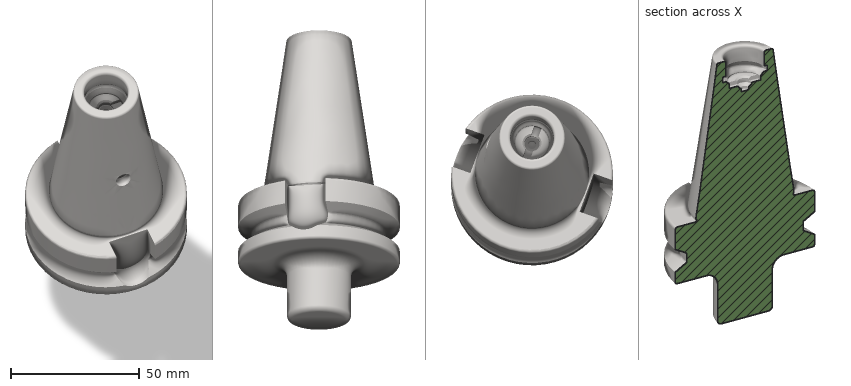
import cadquery as cq
import math


shank_height = 65.4
gauge_radius = 22.21
taper_slope = 3.5 / 24
shank_top_round = 0.8
gauge_band = 0.7
undercut_depth = 0.3
undercut_root_round = 0.5

flange_radius = 31.5
flange_top = -1.8
flange_bottom = -27.0
flange_edge_round = 1.0
groove_upper_edge = -11.7
groove_lower_edge = -21.6
groove_radius = 26.3
groove_flank_angle = 30
groove_corner_round = 0.6

overall_height = 115.4
nose_radius = 12.5
nose_root_round = 5.0
nose_end_round = 2.0

keyway_width = 16.2
keyway_wall_distance = 22.6
keyway_bottom = -23.2

bore_radius = 8.5
bore_mouth_round = 1.0
relief_groove_top = 6.9
relief_groove_bottom = 9.1
relief_groove_radius = 9.9
seat_radius = 6.9
seat_half_angle = 45

head_edge_chamfer = 0.5
head_slot_width = 3.0
head_slot_depth = 1.7
socket_radius = 3.0
socket_chamfer = 0.7
socket_cone_radius = 2.8
socket_depth = 3.5
pilot_radius = 1.6
pilot_depth = 1.2

side_hole_radius = 3.1
side_hole_height = 29.3
side_hole_depth = 3.5

nose_bottom = shank_height - overall_height


def make_body():
    """Revolve the outer profile of shank, flange and nose."""
    shank_top_radius = gauge_radius - shank_height * taper_slope
    relief_radius = gauge_radius - undercut_depth
    flank_drop = (flange_radius - groove_radius) * math.tan(math.radians(groove_flank_angle))
    profile = [
        (0, shank_height),
        (shank_top_radius, shank_height),
        (gauge_radius, 0),
        (gauge_radius, -gauge_band),
        (relief_radius, -gauge_band - undercut_depth),
        (relief_radius, flange_top),
        (flange_radius, flange_top),
        (flange_radius, groove_upper_edge),
        (groove_radius, groove_upper_edge - flank_drop),
        (groove_radius, groove_lower_edge + flank_drop),
        (flange_radius, groove_lower_edge),
        (flange_radius, flange_bottom),
        (nose_radius, flange_bottom),
        (nose_radius, nose_bottom),
        (0, nose_bottom),
    ]
    body = cq.Workplane("XZ").polyline(profile).close().revolve(360, (0, 0), (0, 1))

    rounds = [
        (shank_top_radius, shank_height, shank_top_round),
        (relief_radius, flange_top, undercut_root_round),
        (flange_radius, flange_top, flange_edge_round),
        (groove_radius, groove_upper_edge - flank_drop, groove_corner_round),
        (groove_radius, groove_lower_edge + flank_drop, groove_corner_round),
        (flange_radius, flange_bottom, flange_edge_round),
        (nose_radius, flange_bottom, nose_root_round),
        (nose_radius, nose_bottom, nose_end_round),
    ]
    for ring_radius, ring_height, round_radius in rounds:
        rim_point = cq.Vertex.makeVertex(ring_radius, 0, ring_height)
        rim = body.edges("%CIRCLE").sort(lambda edge: edge.distance(rim_point))[0]
        body = rim.fillet(round_radius)
    return body


def make_keyway():
    """Round-bottomed slot on the +X side, open at the top and outer faces of the flange."""
    half_width = keyway_width / 2
    arc_center = keyway_bottom + half_width
    return (
        cq.Workplane("YZ", origin=(keyway_wall_distance, 0, 0))
        .moveTo(-half_width, 0)
        .lineTo(-half_width, arc_center)
        .threePointArc((0, keyway_bottom), (half_width, arc_center))
        .lineTo(half_width, 0)
        .close()
        .extrude(flange_radius)
    )


def make_bore():
    """Round-mouthed bore with relief groove and conical seat, ending on the slotted screw head."""
    mouth_radius = bore_radius + bore_mouth_round
    seat_drop = (bore_radius - seat_radius) / math.tan(math.radians(seat_half_angle))
    head_depth = relief_groove_bottom + seat_drop
    socket_wall_end = head_depth + head_slot_depth + socket_chamfer
    cone_end = head_depth + socket_depth
    profile = [
        (bore_radius, relief_groove_top),
        (relief_groove_radius, relief_groove_top),
        (relief_groove_radius, relief_groove_bottom),
        (bore_radius, relief_groove_bottom),
        (seat_radius, head_depth),
        (seat_radius, head_depth + head_edge_chamfer),
        (seat_radius - head_edge_chamfer, head_depth),
        (socket_radius + socket_chamfer, head_depth),
        (socket_radius, head_depth + socket_chamfer),
        (socket_radius, socket_wall_end),
        (socket_cone_radius, socket_wall_end),
        (pilot_radius, cone_end),
        (pilot_radius, cone_end + pilot_depth),
        (0, cone_end + pilot_depth),
    ]
    points = [(radius, shank_height - depth) for radius, depth in profile]
    bore = (
        cq.Workplane("XZ")
        .moveTo(0, shank_height)
        .lineTo(mouth_radius, shank_height)
        .radiusArc((bore_radius, shank_height - bore_mouth_round), -bore_mouth_round)
        .polyline(points, includeCurrent=True)
        .close()
        .revolve(360, (0, 0), (0, 1))
    )

    slot_floor = shank_height - head_depth - head_slot_depth
    slot = (
        cq.Workplane("XY", origin=(0, 0, slot_floor))
        .rect(head_slot_width, 2 * bore_radius)
        .extrude(head_slot_depth)
    )
    head = (
        cq.Workplane("XY", origin=(0, 0, slot_floor))
        .circle(seat_radius)
        .extrude(head_slot_depth)
    )
    return bore.union(slot.intersect(head))


def make_side_hole():
    """Flat-bottomed hole drilled inwards along X."""
    surface_radius = gauge_radius - side_hole_height * taper_slope
    return (
        cq.Workplane("YZ", origin=(surface_radius - side_hole_depth, 0, side_hole_height))
        .circle(side_hole_radius)
        .extrude(2 * side_hole_depth)
    )


keyway = make_keyway()
result = (
    make_body()
    .cut(keyway)
    .cut(keyway.mirror("YZ"))
    .cut(make_bore())
    .cut(make_side_hole())
)